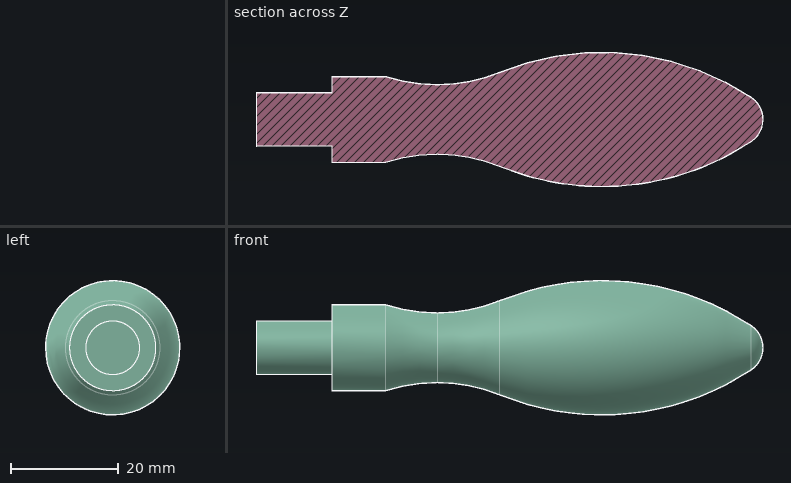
import cadquery as cq
import math

overall_length = 94.0

spigot_radius = 5.0
spigot_length = 14.0

collar_radius = 8.0
collar_length = 10.0

neck_radius = 6.5
neck_x = 33.6

grip_radius = 12.5
grip_arc_radius = 50.0

tip_radius = 5.0

collar_end_x = spigot_length + collar_length


def arc_radius(run, rise):
    """Radius of an arc that starts level and rises by `rise` over `run`."""
    return (run**2 + rise**2) / (2 * rise)


tip_center_x = overall_length - tip_radius
grip_center_r = grip_radius - grip_arc_radius
center_distance = grip_arc_radius - tip_radius
grip_x = tip_center_x - math.sqrt(center_distance**2 - grip_center_r**2)

neck_to_grip = grip_x - neck_x
neck_grip_radii = arc_radius(neck_to_grip, grip_radius - neck_radius)
neck_arc_radius = neck_grip_radii - grip_arc_radius

flare_arc_radius = arc_radius(neck_x - collar_end_x, collar_radius - neck_radius)

grip_share = grip_arc_radius / neck_grip_radii
neck_center_r = neck_radius + neck_arc_radius
grip_start = (
    grip_x - neck_to_grip * grip_share,
    grip_center_r + (neck_center_r - grip_center_r) * grip_share,
)
tip_share = tip_radius / center_distance
tip_start = (
    tip_center_x + (tip_center_x - grip_x) * tip_share,
    -grip_center_r * tip_share,
)

profile = (
    cq.Workplane("XY")
    .moveTo(0, 0)
    .lineTo(0, spigot_radius)
    .lineTo(spigot_length, spigot_radius)
    .lineTo(spigot_length, collar_radius)
    .lineTo(collar_end_x, collar_radius)
    .radiusArc((neck_x, neck_radius), -flare_arc_radius)
    .radiusArc(grip_start, -neck_arc_radius)
    .radiusArc(tip_start, grip_arc_radius)
    .radiusArc((overall_length, 0), tip_radius)
    .close()
)

result = profile.revolve(360, (0, 0), (1, 0))